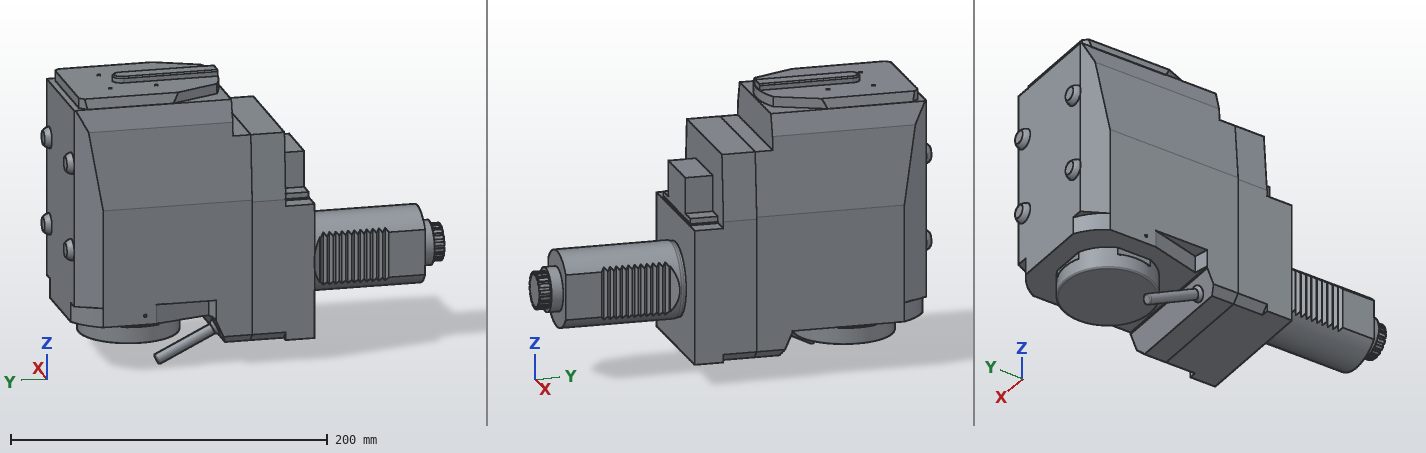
import cadquery as cq
import math


flange_side = 88.0
half_width = flange_side / 2
flange_top = 44.5
flange_depth = 18.8
neck_depth = 40.7
head_front = 52.2
head_back = 154.5
neck_top = 92.2
head_top = 115.0
upper_bend_z = 101.2
upper_bend_x = 39.7
head_top_x = 36.0
head_bend_z = 50.2
neck_bend_z = 49.0

head_bottom = -26.9
underside_front = 64.0
pipe_face_top = -28.1
pipe_face_front = 57.0
bevel = 5.3

back_chamfer_x = 8.5
back_chamfer_y = 16.8
rounding_top = -14.3
rounding_size = 16.8
rounding_radius = 44.0

recess_back = 103.2
recess_front = 66.5
recess_depth = 10.0

side_hole_diameter = 1.7
side_hole_y = 110.3
side_hole_z = -21.0
hole_depth = 5.0

plate_top = 121.5
plate_back = 150.2
plate_half_width = 35.5
plate_half_width_top = 34.0
plate_corner = 4.5
plate_taper_y = 89.7
plate_nose_x = 21.5
plate_nose_y = 58.0
plate_front = 53.0
plate_hole_diameter = 2.1
plate_hole_spacing = 30.0
plate_hole_center_y = 110.8
key_width = 11.5
key_front = 53.5
key_back = 120.5
key_top = 125.5
key_chamfer = 1.0

block_front = 0.8
pad_front = 1.3
pad_half_width = 32.1
pad_top = 45.2
foot_half_width = 31.1
foot_top = 48.7
block_half_width = 19.5
block_top = 72.3

plug_diameter = 14.0
plug_tip_diameter = 9.0
plug_dome_radius = 7.0
plug_height = 4.0
plug_x = 29.0
plug_levels = (21.3, 78.4)

pipe_x = -27.0
pipe_diameter = 7.0
pipe_root_z = -37.0
pipe_angle = 26.0
pipe_length = 43.0
pipe_end_fillet = 0.8
pipe_collar_diameter = 11.0
pipe_collar_length = 2.5

shank_diameter = 50.0
shank_length = 77.9
relief_diameter = 48.7
relief_length = 1.5
relief_end = 3.5
flat_offset = 20.0
runout_end = 9.3
teeth_start = 10.0
tooth_pitch = 4.0
tooth_depth = 2.0
tooth_count = 11

collar_diameter = 29.0
collar_length = 7.5
spline_length = 7.3
spline_diameter = 24.0
spline_root_diameter = 21.0
spline_teeth = 18
spline_chamfer = 0.5

spindle_y = 110.3
spindle_diameter = 65.0
spindle_bottom = -42.7
spindle_flat_offset = 30.1
spindle_flat_bottom = -32.0
spindle_edge_fillet = 1.0


def box(x_range, y_range, z_range):
    """Box between two limits along each axis."""
    size = [high - low for low, high in (x_range, y_range, z_range)]
    corner = (x_range[0], y_range[0], z_range[0])
    return cq.Workplane("XY").box(*size, centered=False).translate(corner)


def mirrored_section(right_points, front, back):
    """Extrude along Y an outline in XZ given by its right-hand points, bottom to top."""
    left_points = [(-x, z) for x, z in reversed(right_points)]
    plane = cq.Workplane("XZ", origin=(0, front, 0))
    return plane.polyline(right_points + left_points).close().extrude(front - back)


def plan_prism(points, bottom, top):
    """Extrude along Z an outline drawn in the XY plane."""
    return cq.Workplane("XY").workplane(offset=bottom).polyline(points).close().extrude(top - bottom)


def both_sides(shape):
    """The shape together with its mirror image across the plane X = 0."""
    return shape.union(shape.mirror("YZ"))


def lower_edge_points():
    """Right-hand points of the beveled lower edge shared by the head and the neck."""
    return [(half_width - bevel, -half_width), (half_width, bevel - half_width)]


def side_lean():
    """Inward run per unit of height of the leaning sides."""
    return (half_width - upper_bend_x) / (upper_bend_z - head_bend_z)


def make_head_block():
    points = lower_edge_points() + [
        (half_width, head_bend_z),
        (upper_bend_x, upper_bend_z),
        (head_top_x, head_top),
    ]
    step = box((-half_width, half_width), (neck_depth, head_front), (neck_top, head_top))
    return mirrored_section(points, neck_depth, head_back).cut(step)


def make_flange_block():
    neck_top_x = half_width - side_lean() * (neck_top - head_bend_z)
    neck_points = lower_edge_points() + [(half_width, neck_bend_z), (neck_top_x, neck_top)]
    square_points = [(half_width, -half_width), (half_width, flange_top)]
    neck = mirrored_section(neck_points, flange_depth, neck_depth)
    return neck.union(mirrored_section(square_points, 0, flange_depth))


def make_underside_clearance():
    points = [
        (head_back, head_bottom),
        (underside_front, head_bottom),
        (underside_front, pipe_face_top),
        (pipe_face_front, -half_width),
        (head_back, -half_width),
    ]
    plane = cq.Workplane("YZ", origin=(-half_width, 0, 0))
    return plane.polyline(points).close().extrude(flange_side)


def make_back_corner_cuts():
    corner = [
        (half_width, head_back),
        (half_width - back_chamfer_x, head_back),
        (half_width, head_back - back_chamfer_y),
    ]
    return both_sides(plan_prism(corner, rounding_top, head_top))


def make_back_rounding_cuts():
    """Material outside the arcs at the lowest part of the back corners."""
    corner = (
        cq.Workplane("XY", origin=(0, 0, head_bottom))
        .moveTo(half_width, head_back)
        .lineTo(half_width - rounding_size, head_back)
        .radiusArc((half_width, head_back - rounding_size), rounding_radius)
        .close()
        .extrude(rounding_top - head_bottom)
    )
    return both_sides(corner)


def make_side_recess():
    points = [
        (-half_width, recess_back),
        (-half_width, underside_front),
        (recess_depth - half_width, recess_front),
    ]
    return plan_prism(points, head_bottom, rounding_top)


def make_side_hole():
    plane = cq.Workplane("YZ", origin=(-half_width, side_hole_y, side_hole_z))
    return plane.circle(side_hole_diameter / 2).extrude(hole_depth)


def make_top_plate():
    shoulder_y = plate_back - plate_corner
    corner_x = plate_half_width - plate_corner
    plate = (
        cq.Workplane("XY", origin=(0, 0, head_top))
        .moveTo(-plate_nose_x, plate_nose_y)
        .threePointArc((0, plate_front), (plate_nose_x, plate_nose_y))
        .lineTo(plate_half_width, plate_taper_y)
        .lineTo(plate_half_width, shoulder_y)
        .lineTo(corner_x, plate_back)
        .lineTo(-corner_x, plate_back)
        .lineTo(-plate_half_width, shoulder_y)
        .lineTo(-plate_half_width, plate_taper_y)
        .close()
        .extrude(plate_top - head_top)
    )
    leaning_sides = mirrored_section(
        [(plate_half_width, head_top), (plate_half_width_top, plate_top)], plate_front, plate_back
    )
    holes = (
        cq.Workplane("XY", origin=(0, plate_hole_center_y, plate_top))
        .rect(plate_hole_spacing, plate_hole_spacing, forConstruction=True)
        .vertices()
        .circle(plate_hole_diameter / 2)
        .extrude(-hole_depth)
    )
    return plate.intersect(leaning_sides).cut(holes)


def make_key():
    radius = key_width / 2
    round_center_y = key_back - radius
    return (
        cq.Workplane("XY", origin=(0, 0, plate_top))
        .moveTo(-radius, key_front)
        .lineTo(radius, key_front)
        .lineTo(radius, round_center_y)
        .threePointArc((0, key_back), (-radius, round_center_y))
        .close()
        .extrude(key_top - plate_top)
        .edges(">Z")
        .edges("not <Y")
        .chamfer(key_chamfer)
    )


def make_locating_block():
    depth = (block_front, flange_depth)
    pad_span = (pad_front, flange_depth)
    pad = box((-pad_half_width, pad_half_width), pad_span, (flange_top, pad_top))
    foot = box((-foot_half_width, foot_half_width), depth, (pad_top, foot_top))
    block = box((-block_half_width, block_half_width), depth, (pad_top, block_top))
    return pad.union(foot).union(block)


def make_plug(x, z):
    """Domed plug on the back of the head."""
    plug = (
        cq.Workplane("XY")
        .lineTo(plug_diameter / 2, 0)
        .radiusArc((plug_tip_diameter / 2, plug_height), -plug_dome_radius)
        .lineTo(0, plug_height)
        .close()
        .revolve(360, (0, 0, 0), (0, 1, 0))
    )
    return plug.translate((x, head_back, z))


def make_pipe():
    """Coolant pipe leaving the sloping face, with a conical collar at its root."""
    face_run = underside_front - pipe_face_front
    root_drop = pipe_face_top - pipe_root_z
    root_y = underside_front - face_run * root_drop / (pipe_face_top + half_width)
    angle = math.radians(pipe_angle)
    direction = (0, math.cos(angle), -math.sin(angle))
    plane = cq.Plane(origin=(pipe_x, root_y, pipe_root_z), xDir=(1, 0, 0), normal=direction)
    pipe = cq.Workplane(plane).circle(pipe_diameter / 2).extrude(pipe_length)
    pipe = pipe.faces(">Y").edges().fillet(pipe_end_fillet)
    collar = (
        cq.Workplane(plane)
        .circle(pipe_collar_diameter / 2)
        .workplane(offset=pipe_collar_length)
        .circle(pipe_diameter / 2)
        .loft()
    )
    return pipe.union(collar)


def make_shank_flat_cut():
    """Material outside the right-hand flat: a 45 degree run-out, then V-shaped teeth."""
    radius = shank_diameter / 2
    points = [
        (radius, radius - flat_offset - runout_end),
        (flat_offset, -runout_end),
        (flat_offset, -teeth_start),
    ]
    for index in range(tooth_count):
        root_y = -teeth_start - (index + 0.5) * tooth_pitch
        points.append((flat_offset - tooth_depth, root_y))
        points.append((flat_offset, root_y - tooth_pitch / 2))
    points.append((flat_offset, -shank_length))
    points.append((radius, -shank_length))
    return plan_prism(points, -radius, radius)


def make_shank():
    profile = [
        (0, 0),
        (relief_diameter / 2, 0),
        (relief_diameter / 2, -relief_length),
        (shank_diameter / 2, -relief_end),
        (shank_diameter / 2, -shank_length),
        (0, -shank_length),
    ]
    shank = cq.Workplane("XY").polyline(profile).close().revolve(360, (0, 0, 0), (0, 1, 0))
    return shank.cut(both_sides(make_shank_flat_cut()))


def make_spindle_nose():
    """Spindle nose below the head, with four wrench flats at its top."""
    body = (
        cq.Workplane("XY", origin=(0, spindle_y, spindle_bottom))
        .circle(spindle_diameter / 2)
        .extrude(head_bottom - spindle_bottom)
        .faces("<Z")
        .edges()
        .fillet(spindle_edge_fillet)
    )
    flats_height = head_bottom - spindle_flat_bottom
    flats_cut = (
        cq.Workplane("XY", origin=(0, spindle_y, spindle_flat_bottom))
        .rect(2 * spindle_diameter, 2 * spindle_diameter)
        .rect(2 * spindle_flat_offset, 2 * spindle_flat_offset)
        .extrude(flats_height)
    )
    return body.cut(flats_cut)


def make_head():
    head = (
        make_head_block()
        .cut(make_underside_clearance())
        .cut(make_back_corner_cuts())
        .cut(make_back_rounding_cuts())
        .cut(make_side_recess())
        .cut(make_side_hole())
        .union(make_top_plate())
        .union(make_key())
        .union(make_pipe())
        .union(make_spindle_nose())
    )
    for x in (-plug_x, plug_x):
        for z in plug_levels:
            head = head.union(make_plug(x, z))
    return head


def make_flange():
    return make_flange_block().union(make_locating_block()).union(make_shank())


def make_drive_shaft():
    collar = (
        cq.Workplane("XZ", origin=(0, -shank_length, 0))
        .circle(collar_diameter / 2)
        .extrude(collar_length)
    )
    spline_start = (0, -shank_length - collar_length, 0)
    spline = (
        cq.Workplane("XZ", origin=spline_start)
        .circle(spline_diameter / 2)
        .extrude(spline_length)
        .faces("<Y")
        .chamfer(spline_chamfer)
    )
    gap_depth = (spline_diameter - spline_root_diameter) / 2
    gap_width = math.pi * spline_root_diameter / spline_teeth / 2
    gaps = (
        cq.Workplane("XZ", origin=spline_start)
        .polarArray(spline_root_diameter / 2 + gap_depth, 0, 360, spline_teeth)
        .rect(2 * gap_depth, gap_width)
        .extrude(spline_length)
    )
    return collar.union(spline.cut(gaps))


head = make_head()
flange = make_flange()
drive_shaft = make_drive_shaft()

result = cq.Compound.makeCompound([head.val(), flange.val(), drive_shaft.val()])